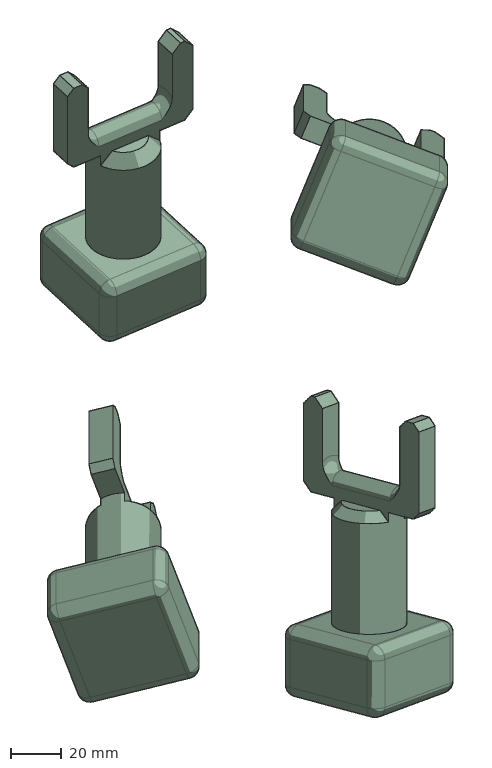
import cadquery as cq
import math

base_side = 50.0
base_height = 30.0
base_round = 5.0

shaft_diameter = 30.0
shaft_radius = shaft_diameter / 2
shaft_top = 80.0
left_bevel = 4.0
right_bevel = 5.0

total_height = 120.0
fork_span = 60.0
fork_thickness = 10.0
arm_width = fork_thickness
bar_radius = fork_thickness / 2
bar_axis_z = shaft_top + fork_thickness - bar_radius
corner_radius = 5.0
back_chamfer = 4.0
front_chamfer = 3.0
overlap = 1.2


def make_base():
    block = cq.Workplane("XY").box(base_side, base_side, base_height, centered=(True, True, False))
    return block.edges().fillet(base_round)


def make_beveled_half(side, bevel):
    """Half of the shaft on one side (-1 or +1) of the YZ plane, beveled at the top."""
    height = shaft_top - base_height + overlap
    shaft = (
        cq.Workplane("XY", origin=(0, 0, base_height - overlap))
        .circle(shaft_radius)
        .extrude(height)
        .faces(">Z")
        .chamfer(bevel)
    )
    keep = cq.Workplane("XY").box(shaft_radius, shaft_diameter, total_height, centered=(True, True, False))
    return shaft.intersect(keep.translate((side * shaft_radius / 2, 0, 0)))


def make_tongue():
    """Unbeveled middle of the shaft, as thick as the fork and running into its bar."""
    height = shaft_top - base_height + overlap
    round_bar = cq.Workplane("XY", origin=(0, 0, base_height)).circle(shaft_radius).extrude(height)
    slab = cq.Workplane("XY").box(fork_thickness, shaft_diameter, total_height, centered=(True, True, False))
    return round_bar.intersect(slab)


def make_arm(side, chamfer):
    """Upright arm on one side (-1 or +1) in Y, chamfered at the tip and the outer bottom corner."""
    outer = side * fork_span / 2
    inner = side * (fork_span / 2 - arm_width)
    inset = side * chamfer
    outline = [
        (inner, shaft_top),
        (outer - inset, shaft_top),
        (outer, shaft_top + chamfer),
        (outer, total_height - chamfer),
        (outer - inset, total_height),
        (inner + inset, total_height),
        (inner, total_height - chamfer),
    ]
    return cq.Workplane("YZ").polyline(outline).close().extrude(fork_thickness / 2, both=True)


def make_bar():
    """Cross bar with a flat bottom and a half-round top."""
    length = fork_span - 2 * arm_width
    return (
        cq.Workplane("XZ")
        .moveTo(-bar_radius, shaft_top)
        .lineTo(bar_radius, shaft_top)
        .lineTo(bar_radius, bar_axis_z)
        .threePointArc((0, bar_axis_z + bar_radius), (-bar_radius, bar_axis_z))
        .close()
        .extrude(length / 2, both=True)
    )


def make_corner_flare(side):
    """Concave flare that widens the round bar top into one arm, trimmed to the fork thickness."""
    wall = fork_span / 2 - arm_width
    start = wall - corner_radius
    diagonal = corner_radius * math.sqrt(0.5)
    flare = (
        cq.Workplane("YZ", origin=(0, 0, bar_axis_z))
        .moveTo(start, 0)
        .lineTo(start, bar_radius)
        .threePointArc(
            (start + diagonal, bar_radius + corner_radius - diagonal),
            (wall, bar_radius + corner_radius),
        )
        .lineTo(wall, 0)
        .close()
        .revolve(360, (0, 0), (1, 0))
    )
    height = total_height - bar_axis_z
    keep = cq.Workplane("XY", origin=(0, 0, bar_axis_z)).box(
        fork_thickness, fork_span, height, centered=(True, True, False)
    )
    flare = flare.intersect(keep)
    return flare if side > 0 else flare.mirror("XZ")


fork = make_bar()
for side, chamfer in ((1, back_chamfer), (-1, front_chamfer)):
    fork = fork.union(make_arm(side, chamfer)).union(make_corner_flare(side))

shaft = make_tongue()
for side, bevel in ((-1, left_bevel), (1, right_bevel)):
    shaft = shaft.union(make_beveled_half(side, bevel))

result = make_base().union(shaft).union(fork)